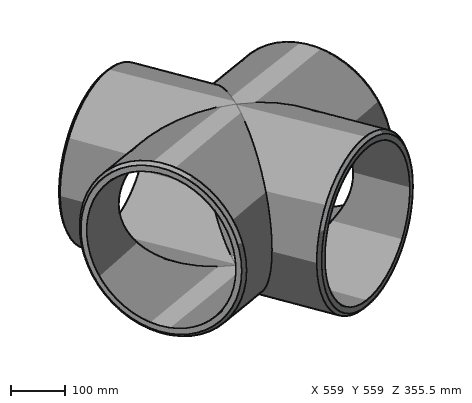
import cadquery as cq

length = 559.0
outer_diameter = 355.5
bore_diameter = 317.5
rim_chamfer = 6.5

pipe_planes = ("YZ", "XZ")


def centred_cylinder(plane, diameter):
    """Cylinder along the plane normal, centred on the origin."""
    return cq.Workplane(plane).circle(diameter / 2).extrude(length / 2, both=True)


def pipe_body(plane):
    """Solid pipe with its outer rim chamfered at both ends."""
    end_rims = centred_cylinder(plane, outer_diameter).faces("%PLANE").edges()
    return end_rims.chamfer(rim_chamfer)


result = cq.Workplane()
for plane in pipe_planes:
    result = result.add(pipe_body(plane))
result = result.combine()

for plane in pipe_planes:
    result = result.cut(centred_cylinder(plane, bore_diameter))